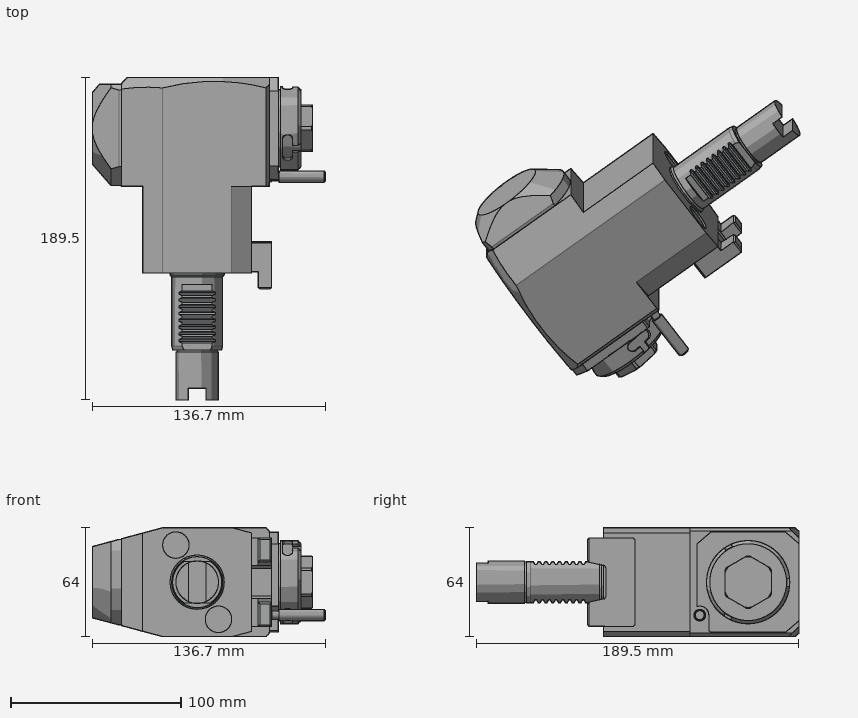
import cadquery as cq
import math


body_half = 32.0
flat_half_x = 20.3
taper = math.tan(math.radians(15))
neck_length = 51.0
head_left = -44.3
head_right = 42.5
head_back = 115.0
head_right_chamfer = 2.0
head_back_chamfer = 3.5
barrel_center_x = 10.0
barrel_radius = 42.3
barrel_sweep = 193.3
spindle_y = 85.0

insert_x = 12.5
insert_z = 21.8
insert_radius = 7.8
insert_depth = 1.1

cap_left = -61.5
cap_shoulder_x = -50.6
cap_land_x = -46.0
cap_face_radius = 21.0
cap_radius = 33.7
cap_back = 111.0

plate_right = 47.8
plate_half_z = 29.4
plate_front = 55.1
plate_bevel_y = 8.0
plate_bevel_z = 6.8
pin_clearance = 5.3

pin_y = 56.7
pin_z = -19.3
pin_radius = 3.5
pin_neck_radius = 2.5
pin_neck_end = 48.1
pin_collar_radius = 3.2
pin_collar_end = 44.0
pin_end = 75.2
pin_chamfer = 0.8

nut_radius = 24.5
nut_end = 61.0
nut_chamfer = 1.9
undercut_width = 1.1
undercut_radius = 22.7
slot_count = 3
slot_first_angle = 29.5
slot_width = 5.9
slot_span = 41.0
slot_center_x = 53.0
slot_depth = 1.7
slot_outlet_width = 4.5
hex_flats = 27.5
hex_corner_radius = 15.3
hex_end = 67.8
hex_chamfer = 0.5

bracket_right = 43.8
bracket_half_z = 26.0
bracket_back = 18.5
bracket_front = 0.8
bracket_chamfer = 1.0
leg_left = 35.8
leg_tip = -9.3
leg_root_z = 9.7
channel_floor_y = 1.7
channel_floor_z = 8.1
leg_tip_z = 12.0

flange_radius = 16.0
flange_thickness = 1.0
shank_radius = 15.0
shank_start = 2.3
shank_end = 45.1
shank_chamfer_length = 2.3
shank_end_radius = 14.4
groove_radius = 12.0
groove_end = 46.2
drive_radius = 12.5
drive_end = head_back - 189.5
drive_slot_half_x = 5.1
drive_slot_bottom = -67.7

rack_flat_z = 12.1
rack_start = -6.6
tooth_gap_count = 8
tooth_pitch = 4.0
tooth_gap_first_y = -11.7
tooth_root_z = 10.5
tooth_gap_half_top = 1.42
tooth_gap_half_root = 0.47


def box(x0, x1, y0, y1, z0, z1):
    """Box between two opposite corners."""
    return cq.Workplane("XY").box(x1 - x0, y1 - y0, z1 - z0, centered=False).translate((x0, y0, z0))


def disc(x0, x1, radius, y=spindle_y, z=0.0):
    """Cylinder along X, by default on the spindle axis."""
    return cq.Workplane("YZ", origin=(x0, y, z)).circle(radius).extrude(x1 - x0)


def tapered_half_z(x):
    """Half height of the tapered body side at x, on either side of the axis."""
    return body_half - taper * (abs(x) - flat_half_x)


def prism_xz(upper_points, y0, y1):
    """Prism along Y whose outline is mirrored about Z = 0."""
    lower_points = [(x, -z) for x, z in reversed(upper_points)]
    outline = cq.Workplane("XZ", origin=(0, y0, 0)).polyline(upper_points + lower_points).close()
    return outline.extrude(y0 - y1)


def prism_yz(points, x0, x1):
    """Prism along X."""
    return cq.Workplane("YZ", origin=(x0, 0, 0)).polyline(points).close().extrude(x1 - x0)


def barrel_radius_at(x):
    offset = x - barrel_center_x
    return barrel_radius - barrel_sweep + math.sqrt(barrel_sweep**2 - offset**2)


def make_neck():
    side_z = tapered_half_z(body_half)
    points = [(-body_half, side_z), (-flat_half_x, body_half), (flat_half_x, body_half), (body_half, side_z)]
    neck = prism_xz(points, 0, neck_length)
    for side in (-1, 1):
        recess = cq.Workplane("XZ", origin=(side * insert_x, 0, -side * insert_z))
        neck = neck.cut(recess.circle(insert_radius).extrude(-insert_depth))
    return neck


def make_head():
    head = prism_xz(
        [
            (head_left, tapered_half_z(head_left)),
            (-flat_half_x, body_half),
            (head_right - head_right_chamfer, body_half),
            (head_right, body_half - head_right_chamfer),
        ],
        neck_length,
        head_back,
    )
    head = head.faces("<X").edges(">Y").chamfer(head_back_chamfer)
    barrel = (
        cq.Workplane("XY", origin=(0, spindle_y, 0))
        .moveTo(head_left, 0)
        .lineTo(head_left, barrel_radius_at(head_left))
        .threePointArc((barrel_center_x, barrel_radius), (head_right, barrel_radius_at(head_right)))
        .lineTo(head_right, 0)
        .close()
        .revolve(360, (0, 0, 0), (1, 0, 0))
    )
    front_half = box(head_left, head_right, neck_length, spindle_y, -body_half, body_half)
    return head.intersect(barrel.union(front_half))


def make_cap():
    turned = (
        cq.Workplane("XY", origin=(0, spindle_y, 0))
        .polyline(
            [
                (cap_left, 0),
                (cap_left, cap_face_radius),
                (cap_shoulder_x, cap_radius),
                (head_left, cap_radius),
                (head_left, 0),
            ]
        )
        .close()
        .revolve(360, (0, 0, 0), (1, 0, 0))
    )
    land_z = tapered_half_z(cap_land_x)
    points = [(cap_left, tapered_half_z(cap_left)), (cap_land_x, land_z), (head_left, land_z)]
    return turned.intersect(prism_xz(points, neck_length, cap_back))


def make_plate():
    inner_z = plate_half_z - plate_bevel_z
    plate = prism_yz(
        [
            (plate_front, inner_z),
            (plate_front + plate_bevel_y, plate_half_z),
            (head_back - plate_bevel_y, plate_half_z),
            (head_back, inner_z),
            (head_back, -inner_z),
            (head_back - plate_bevel_y, -plate_half_z),
            (plate_front + plate_bevel_y, -plate_half_z),
            (plate_front, -inner_z),
        ],
        head_right,
        plate_right,
    )
    channel = disc(head_right, plate_right, pin_clearance, pin_y, pin_z)
    below = box(head_right, plate_right, plate_front, pin_y + pin_clearance, -plate_half_z, pin_z)
    return plate.cut(channel).cut(below)


def make_pin():
    neck = disc(head_right, pin_neck_end, pin_neck_radius, pin_y, pin_z)
    collar = disc(head_right, pin_collar_end, pin_collar_radius, pin_y, pin_z)
    collar = collar.faces(">X").chamfer(pin_chamfer)
    shaft = disc(pin_neck_end, pin_end, pin_radius, pin_y, pin_z).faces(">X").chamfer(pin_chamfer)
    return neck.union(collar).union(shaft)


def make_spanner_slot():
    """Round-ended slot around the top of the nut, with an outlet to its front."""
    floor_radius = nut_radius - slot_depth
    end_offset = slot_span / 2 - math.degrees(slot_width / 2 / nut_radius)
    wedge_height = 2 * nut_radius
    wedge_half_y = wedge_height * math.tan(math.radians(end_offset))
    slot = prism_yz(
        [(spindle_y, 0), (spindle_y - wedge_half_y, wedge_height), (spindle_y + wedge_half_y, wedge_height)],
        slot_center_x - slot_width / 2,
        slot_center_x + slot_width / 2,
    )
    for side in (-1, 1):
        end = cq.Workplane("XY", origin=(slot_center_x, spindle_y, 0)).circle(slot_width / 2)
        end = end.extrude(wedge_height)
        slot = slot.union(end.rotate((0, spindle_y, 0), (1, spindle_y, 0), side * end_offset))
    outlet_half = slot_outlet_width / 2
    outlet = box(slot_center_x, nut_end, spindle_y - outlet_half, spindle_y + outlet_half, 0, wedge_height)
    return slot.union(outlet).cut(disc(plate_right, nut_end, floor_radius))


def make_nut():
    undercut_end = plate_right + undercut_width
    nut = disc(undercut_end, nut_end, nut_radius).faces(">X").chamfer(nut_chamfer)
    slot = make_spanner_slot()
    for index in range(slot_count):
        angle = slot_first_angle + index * 360 / slot_count
        nut = nut.cut(slot.rotate((0, spindle_y, 0), (1, spindle_y, 0), angle))
    return nut.union(disc(plate_right, undercut_end, undercut_radius))


def make_hexagon():
    across_corners = hex_flats / math.cos(math.radians(30))
    hexagon = cq.Workplane("YZ", origin=(nut_end, spindle_y, 0)).polygon(6, across_corners)
    hexagon = hexagon.extrude(hex_end - nut_end).rotate((0, spindle_y, 0), (1, spindle_y, 0), 90)
    blank = disc(nut_end, hex_end, hex_corner_radius).faces(">X").chamfer(hex_chamfer)
    return hexagon.intersect(blank)


def make_bracket():
    bar = box(body_half, bracket_right, bracket_front, bracket_back, -bracket_half_z, bracket_half_z)
    bar = bar.faces(">Y").edges("|X").chamfer(bracket_chamfer)
    channel = prism_yz(
        [
            (bracket_front, leg_root_z),
            (channel_floor_y, channel_floor_z),
            (channel_floor_y, -channel_floor_z),
            (bracket_front, -leg_root_z),
        ],
        body_half,
        bracket_right,
    )
    bar = bar.cut(channel)
    leg = prism_yz(
        [
            (bracket_front, leg_root_z),
            (leg_tip, leg_tip_z),
            (leg_tip, bracket_half_z),
            (bracket_front, bracket_half_z),
        ],
        leg_left,
        bracket_right,
    )
    leg = leg.faces("<Y").chamfer(bracket_chamfer)
    return bar.union(leg).union(leg.mirror("XY"))


def make_rack_cut():
    """Material removed above the shank: a flat with tapered grooves across it."""
    flat = box(-shank_radius, shank_radius, -shank_end, rack_start, rack_flat_z, shank_radius)
    for index in range(tooth_gap_count):
        y = tooth_gap_first_y - index * tooth_pitch
        groove = prism_yz(
            [
                (y - tooth_gap_half_root, tooth_root_z),
                (y + tooth_gap_half_root, tooth_root_z),
                (y + tooth_gap_half_top, rack_flat_z),
                (y - tooth_gap_half_top, rack_flat_z),
            ],
            -shank_radius,
            shank_radius,
        )
        flat = flat.union(groove)
    return flat


def make_shank():
    shank = (
        cq.Workplane("XY")
        .polyline(
            [
                (0, 0),
                (flange_radius, 0),
                (flange_radius, -flange_thickness),
                (shank_radius, -shank_start),
                (shank_radius, shank_chamfer_length - shank_end),
                (shank_end_radius, -shank_end),
                (groove_radius, -shank_end),
                (groove_radius, -groove_end),
                (drive_radius, -groove_end),
                (drive_radius, drive_end),
                (0, drive_end),
            ]
        )
        .close()
        .revolve(360, (0, 0, 0), (0, 1, 0))
    )
    rack = make_rack_cut()
    drive_slot = box(
        -drive_slot_half_x, drive_slot_half_x, drive_end, drive_slot_bottom, -drive_radius, drive_radius
    )
    return shank.cut(rack).cut(rack.mirror("XY")).cut(drive_slot)


result = make_neck()
for piece in (
    make_head(),
    make_cap(),
    make_plate(),
    make_pin(),
    make_nut(),
    make_hexagon(),
    make_bracket(),
    make_shank(),
):
    result = result.union(piece)